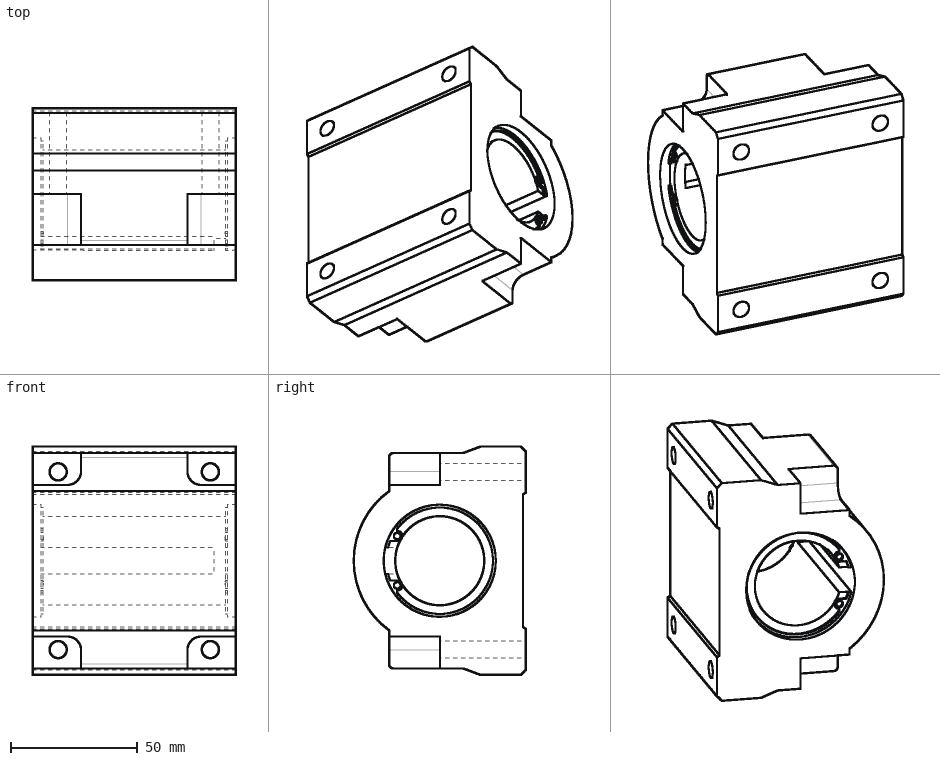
import cadquery as cq
import math

length = 80.0
height = 90.0
barrel_radius = 33.9
back_y = 33.9
shoulder_y = -20.0
base_half = height / 2
shoulder_half = 42.5
base_flat_end_y = 16.0
base_slope_end_y = 9.3
back_chamfer = 2.0
shoulder_fillet = 1.8
relief_depth = 1.1
relief_half_height = 26.1
relief_edge = 0.7

pocket_length = 19.1
pocket_inner_z = 29.9
pocket_floor_y = 0.0
pocket_radius = 5.3
hole_diameter = 6.7
hole_x = 30.0
hole_z = 35.0

seat_diameter = 44.2
bore_diameter = 35.0
ring_inset = 3.2
ring_thickness = 0.9
slot_half_width = 5.1
slot_end_wall = 4.5

ring_inner_radius = 21.0
lug_y = -16.7
lug_z = 9.7
lug_radius = 2.0
lug_hole_diameter = 2.6
lug_root_z = 13.1

seat_radius = seat_diameter / 2
bore_radius = bore_diameter / 2
recess_depth = ring_inset + ring_thickness
overlap = 0.1


def side_plane(x):
    """Sketch plane across the bore: local x is Y and local y is Z."""
    return cq.Workplane("YZ", origin=(x, 0, 0))


def make_housing():
    barrel_z = math.sqrt(barrel_radius**2 - shoulder_y**2)
    relief_y = back_y - relief_depth
    upper = [
        (shoulder_y, shoulder_half),
        (base_slope_end_y, shoulder_half),
        (base_flat_end_y, base_half),
        (back_y - back_chamfer, base_half),
        (back_y, base_half - back_chamfer),
        (back_y, relief_half_height + relief_edge),
        (relief_y, relief_half_height),
    ]
    lower = [(y, -z) for y, z in reversed(upper)]
    housing = (
        side_plane(-length / 2)
        .moveTo(shoulder_y, barrel_z)
        .polyline(upper + lower, includeCurrent=True)
        .lineTo(shoulder_y, -barrel_z)
        .threePointArc((-barrel_radius, 0), (shoulder_y, barrel_z))
        .close()
        .extrude(length)
    )
    for side in (-1, 1):
        corner = cq.selectors.NearestToPointSelector((0, shoulder_y, side * shoulder_half))
        housing = housing.edges(corner).fillet(shoulder_fillet)
    return housing


def make_pocket(x_side, z_side):
    """Corner pocket open to the shoulder face, the end and the top or bottom."""
    pocket_height = base_half - pocket_inner_z
    pocket = (
        cq.Workplane("XY")
        .box(pocket_length, pocket_floor_y - shoulder_y, pocket_height)
        .edges("|Y and <X and <Z")
        .fillet(pocket_radius)
        .translate((
            (length - pocket_length) / 2,
            (pocket_floor_y + shoulder_y) / 2,
            (base_half + pocket_inner_z) / 2,
        ))
    )
    if x_side < 0:
        pocket = pocket.mirror("YZ")
    if z_side < 0:
        pocket = pocket.mirror("XY")
    return pocket


def make_screw_holes():
    spots = [(x, z) for x in (-hole_x, hole_x) for z in (-hole_z, hole_z)]
    return (
        cq.Workplane("XZ", origin=(0, back_y, 0))
        .pushPoints(spots)
        .circle(hole_diameter / 2)
        .extrude(back_y - shoulder_y)
    )


def make_bearing_slot():
    """Blind slot through the sleeve wall on -Y, open at the -X end."""
    slot_start = -length / 2 + recess_depth
    slot_length = length - 2 * recess_depth - slot_end_wall
    strip = (
        side_plane(slot_start)
        .center(-seat_radius / 2, 0)
        .rect(seat_radius + 2 * overlap, 2 * slot_half_width)
        .extrude(slot_length)
    )
    return strip.intersect(side_plane(slot_start).circle(seat_radius).extrude(slot_length))


def make_ring():
    """Retaining ring at the -X end, with a drilled lug on each side of its gap."""
    start = -length / 2 + ring_inset
    thickness = ring_thickness + overlap
    ring = side_plane(start).circle(seat_radius + overlap).circle(ring_inner_radius).extrude(thickness)
    gap = (
        side_plane(start)
        .center(-seat_radius, 0)
        .rect(seat_radius, 2 * slot_half_width)
        .extrude(thickness)
    )
    ring = ring.cut(gap)
    disc = side_plane(start).circle(seat_radius).extrude(thickness)
    for side in (-1, 1):
        web = (
            side_plane(start)
            .polyline([
                (lug_y, side * (lug_z - lug_radius)),
                (lug_y, side * lug_root_z),
                (-seat_radius, side * lug_root_z),
                (-seat_radius, side * (lug_z - lug_radius)),
            ])
            .close()
            .extrude(thickness)
            .intersect(disc)
        )
        center = (lug_y, side * lug_z)
        lug = side_plane(start).center(*center).circle(lug_radius).extrude(thickness)
        hole = side_plane(start).center(*center).circle(lug_hole_diameter / 2).extrude(ring_thickness)
        ring = ring.union(web).union(lug).cut(hole)
    return ring


result = make_housing()
for x_side in (-1, 1):
    for z_side in (-1, 1):
        result = result.cut(make_pocket(x_side, z_side))
result = result.cut(make_screw_holes())

result = result.cut(side_plane(-length / 2).circle(bore_radius).extrude(length))
for recess_start in (-length / 2, length / 2 - recess_depth):
    result = result.cut(side_plane(recess_start).circle(seat_radius).extrude(recess_depth))
result = result.cut(make_bearing_slot())

ring = make_ring()
result = result.union(ring).union(ring.mirror("YZ"))